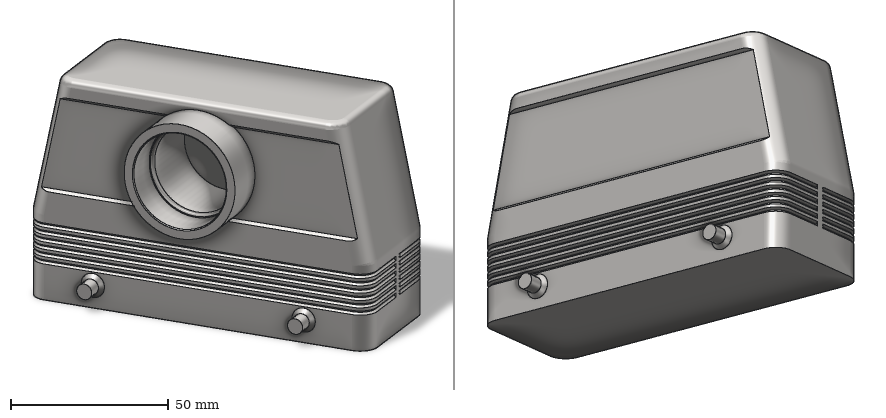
import cadquery as cq

length = 120.0
width = 43.0
height = 76.0
shoulder_height = 29.4
roof_length = 100.3
shoulder_radius = 4.8
corner_radius = 6.0
roof_edge_radius = 2.5

recess_depth = 1.0
recess_bottom = 37.0
recess_top = 69.8

groove_count = 6
groove_depth = 0.7
groove_width = 2 * groove_depth
groove_band_bottom = 12.2
groove_band_top = 26.2
groove_pitch = (groove_band_top - groove_band_bottom - groove_width) / (groove_count - 1)
groove_bridge_width = 2.9

pin_span = 55.9
pin_spacing = 73.9
pin_height = 7.7
pin_radius = 2.6
pin_cone_length = 1.5
pin_root_radius = pin_radius + pin_cone_length

entry_height = 53.6
entry_radius = 19.5
entry_front = 35.5
bore_radius = 16.2
bore_depth = 11.9
bore_mouth_chamfer = 0.4
seat_radius = 15.8
seat_depth = 13.2
seat_floor_radius = 0.8
inner_bore_radius = 14.9
inner_bore_depth = entry_front


def make_body():
    half_base = length / 2
    half_roof = roof_length / 2
    outline = [
        (-half_base, 0),
        (half_base, 0),
        (half_base, shoulder_height),
        (half_roof, height),
        (-half_roof, height),
        (-half_base, shoulder_height),
    ]
    body = cq.Workplane("XZ").polyline(outline).close().extrude(width / 2, both=True)
    shoulder_edges = body.faces("<X or >X").edges("|Y").edges(">Z")
    body = shoulder_edges.fillet(shoulder_radius)
    body = body.edges("(not |X) and (not |Y)").fillet(corner_radius)
    return body.faces(">Z").edges().fillet(roof_edge_radius)


def make_recess(side):
    """Cutter for one long wall: side is -1 for the front and 1 for the back."""
    wall = side * width / 2
    floor = wall - side * recess_depth
    section = [
        (wall, recess_bottom),
        (floor, recess_bottom + recess_depth),
        (floor, recess_top - recess_depth),
        (wall, recess_top),
    ]
    return cq.Workplane("YZ").polyline(section).close().extrude(length / 2, both=True)


def make_groove(middle_z):
    """Ring with a V-shaped inner edge, left open where the bridges cross the end walls."""
    middle = cq.Workplane("XY", origin=(0, 0, middle_z))
    footprint = cq.Sketch().rect(length, width).vertices().fillet(corner_radius)
    lower = middle.workplane(offset=-groove_depth).placeSketch(footprint).extrude(groove_depth, taper=45)
    upper = lower.mirror("XY", (0, 0, middle_z))
    bridge = middle.box(length, groove_bridge_width, groove_width)
    return middle.box(length, width, groove_width).cut(lower).cut(upper).cut(bridge)


def make_pin_pair(x):
    half_span = pin_span / 2
    cone_tip = width / 2 + pin_cone_length
    profile = [
        (0, 0),
        (pin_root_radius, 0),
        (pin_root_radius, width / 2),
        (pin_radius, cone_tip),
        (pin_radius, half_span),
        (0, half_span),
    ]
    pin = (
        cq.Workplane("XY", origin=(x, 0, pin_height))
        .polyline(profile)
        .close()
        .revolve(360, (0, 0, 0), (0, 1, 0))
    )
    return pin.union(pin.mirror("XZ"))


def front_cylinder(radius, depth):
    """Cylinder that starts at the entry mouth and runs back into the hood."""
    mouth = cq.Workplane("XZ", origin=(0, -entry_front, entry_height))
    return mouth.circle(radius).extrude(-depth)


def make_entry_bore():
    mouth = cq.Solid.makeCone(
        bore_radius + bore_mouth_chamfer,
        bore_radius,
        bore_mouth_chamfer,
        cq.Vector(0, -entry_front, entry_height),
        cq.Vector(0, 1, 0),
    )
    seat = front_cylinder(seat_radius, seat_depth).faces(">Y").edges().fillet(seat_floor_radius)
    bore = front_cylinder(bore_radius, bore_depth).union(seat).union(mouth)
    return bore.union(front_cylinder(inner_bore_radius, inner_bore_depth))


result = make_body()
for side in (-1, 1):
    result = result.cut(make_recess(side))
for index in range(groove_count):
    groove_middle = groove_band_bottom + groove_width / 2 + index * groove_pitch
    result = result.cut(make_groove(groove_middle))
for x in (-pin_spacing / 2, pin_spacing / 2):
    result = result.union(make_pin_pair(x))
result = result.union(front_cylinder(entry_radius, entry_front))
result = result.cut(make_entry_bore())